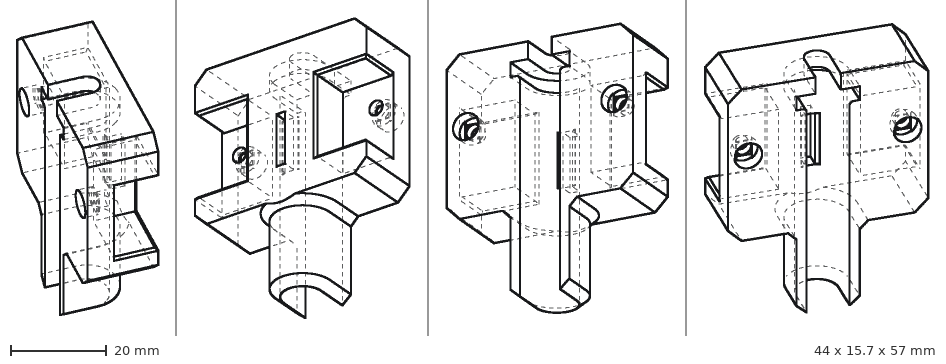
import cadquery as cq

body_width = 44.0
total_height = 57.0
stem_height = 20.0
body_chamfer = 3.0
axis_to_front = 7.68
axis_to_back = 8.0
thickness = axis_to_front + axis_to_back
front_y = -axis_to_front
back_y = axis_to_back

stem_radius = 6.95
flare_size = 1.85
tip_chamfer_width = 2.2
tip_chamfer_height = 1.9
tip_radius = stem_radius - tip_chamfer_width

bore_radius = 4.7
neck_radius = 2.77
collar_radius = stem_radius
collar_bottom = 49.7
collar_top = 53.0
lip_fillet = 0.9

window_width = 2.2
window_frame_width = 4.1
window_frame_depth = 0.3
window_bottom = 28.0
window_top = 40.5

pocket_depth_y = 9.8
pocket_height = 19.5
pocket_center_z = 37.2
pocket_floor_x = 9.0
pocket_chamfer = 0.6

screw_spacing = 35.0
screw_z = 40.5
screw_hole_diameter = 3.4
screw_step_width = screw_hole_diameter
counterbore_diameter = 6.0
counterbore_depth = 3.0
bridge_step = 0.3


def box(x_range, y_range, z_range):
    """Box given by its limits along each axis."""
    size = [limits[1] - limits[0] for limits in (x_range, y_range, z_range)]
    corner = (x_range[0], y_range[0], z_range[0])
    return cq.Workplane("XY").box(*size, centered=False).translate(corner)


def u_solid(half_section):
    """U-shaped solid: a closed half section in XZ revolved about Z and extended straight to the front."""
    right_half = half_section.extrude(axis_to_front)
    left_half = right_half.mirror("YZ")
    round_end = half_section.toPending().revolve(360, (0, 0), (0, 1))
    behind_front = box((-body_width, body_width), (front_y, body_width), (0, total_height))
    return round_end.union(right_half).union(left_half).intersect(behind_front)


def make_body():
    block = box((-body_width / 2, body_width / 2), (front_y, back_y), (stem_height, total_height))
    return block.edges("|Y").chamfer(body_chamfer)


def make_stem():
    half_section = (
        cq.Workplane("XZ")
        .lineTo(tip_radius, 0)
        .lineTo(stem_radius, tip_chamfer_height)
        .lineTo(stem_radius, stem_height - flare_size)
        .lineTo(stem_radius + flare_size, stem_height)
        .lineTo(0, stem_height)
        .close()
    )
    in_thickness = box((-body_width, body_width), (front_y, back_y), (0, total_height))
    return u_solid(half_section).intersect(in_thickness)


def make_channel():
    half_section = (
        cq.Workplane("XZ")
        .lineTo(bore_radius, 0)
        .lineTo(bore_radius, collar_bottom - lip_fillet)
        .tangentArcPoint((bore_radius + lip_fillet, collar_bottom), relative=False)
        .lineTo(collar_radius, collar_bottom)
        .lineTo(collar_radius, collar_top)
        .lineTo(neck_radius, collar_top)
        .lineTo(neck_radius, total_height)
        .lineTo(0, total_height)
        .close()
    )
    return u_solid(half_section)


def make_window():
    z_range = (window_bottom, window_top)
    slot = box((-window_width / 2, window_width / 2), (0, back_y), z_range)
    frame = box((-window_frame_width / 2, window_frame_width / 2), (0, back_y), z_range)
    recess = cq.Workplane("XY").circle(bore_radius + window_frame_depth).extrude(total_height)
    return slot.union(frame.intersect(recess))


def make_pocket():
    """Pocket on the +X side, with a chamfer around its mouth."""
    half_height = pocket_height / 2
    side_x = body_width / 2
    bottom_y = back_y - pocket_depth_y
    z_range = (pocket_center_z - half_height, pocket_center_z + half_height)
    pocket = box((pocket_floor_x, side_x), (bottom_y, back_y), z_range)

    side_mouth = [
        (side_x, -half_height - pocket_chamfer),
        (side_x, half_height + pocket_chamfer),
        (side_x - pocket_chamfer, half_height),
        (side_x - pocket_chamfer, -half_height),
    ]
    side_flare = (
        cq.Workplane("XZ", origin=(0, back_y, pocket_center_z))
        .polyline(side_mouth).close().extrude(pocket_depth_y)
    )

    mouth_length = side_x - pocket_floor_x + 2 * pocket_chamfer
    mouth_height = pocket_height + 2 * pocket_chamfer
    mouth_center_x = (side_x + pocket_floor_x) / 2
    back_flare = (
        cq.Workplane("XZ", origin=(mouth_center_x, back_y, pocket_center_z))
        .rect(mouth_length, mouth_height)
        .extrude(pocket_chamfer, taper=45)
    )
    return pocket.union(side_flare).union(back_flare)


def make_screw_hole():
    """Screw hole on the +X side, entering from the front face."""
    front = cq.Workplane("XZ", origin=(screw_spacing / 2, front_y, screw_z))
    hole = front.circle(screw_hole_diameter / 2).extrude(-thickness)
    counterbore = front.circle(counterbore_diameter / 2).extrude(-counterbore_depth)
    first_depth = counterbore_depth + bridge_step
    slab = front.rect(screw_step_width, counterbore_diameter).extrude(-first_depth)
    first_step = front.circle(counterbore_diameter / 2).extrude(-first_depth).intersect(slab)
    second_step = front.rect(screw_step_width, screw_step_width).extrude(-first_depth - bridge_step)
    return hole.union(counterbore).union(first_step).union(second_step)


result = make_body().union(make_stem()).cut(make_channel()).cut(make_window())
for side_cut in (make_pocket(), make_screw_hole()):
    result = result.cut(side_cut).cut(side_cut.mirror("YZ"))